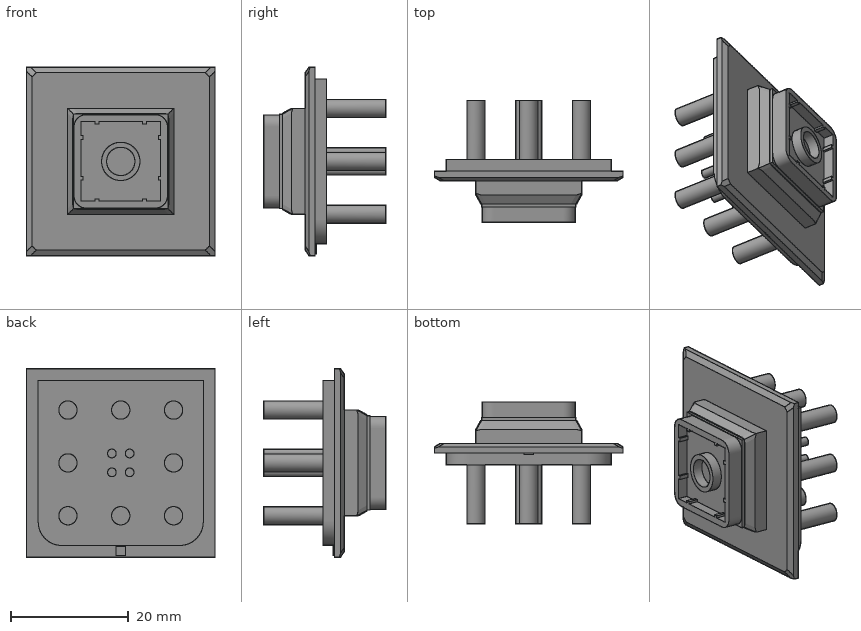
import cadquery as cq
import math


flange_side = 32.0
flange_thickness = 1.65
flange_bevel_inset = 0.95
flange_bevel_depth = 0.6
flange_corner_depth = 0.83
plate_side = 28.0
plate_thickness = 2.0
plate_corner_radius = 4.0

boss_side = 18.0
boss_length = 3.87
boss_bevel_inset = 0.83
boss_bevel_depth = 1.5
boss_corner_inset = 1.15
boss_corner_depth = 1.75
boss_corner_turn = 11.0

collar_side = 16.0
collar_length = 0.5
socket_side = 15.8
socket_length = 2.65
socket_corner_radius = 2.0

pocket_side = 13.5
pocket_depth = 1.75
rib_width = 0.65
rib_height = 0.4
rib_offset = 4.03
side_rib_low_offset = 2.85
ring_outer_diameter = 6.5
ring_inner_diameter = 4.8

pin_diameter = 3.1
pin_length = 10.0
pin_pitch = 8.95
lead_diameter = 1.47
lead_offset_x = 1.5
lead_offset_z = 1.6

pad_side = 1.55
pad_height = 0.22
pad_z = -14.98

flange_front = -flange_thickness
boss_front = flange_front - boss_length
collar_front = boss_front - collar_length
socket_front = collar_front - socket_length
pocket_floor = socket_front + pocket_depth
plate_rear = plate_thickness

quarter_turns = (0, 90, 180, 270)


def face_at(y):
    """Sketch plane at position y, with X right, Z up and its normal toward -Y."""
    return cq.Workplane("XZ", origin=(0, y, 0))


def square_block(side, y_from, y_to):
    return face_at(y_from).rect(side, side).extrude(y_from - y_to)


def cylinders(points, diameter, y_from, y_to):
    return face_at(y_from).pushPoints(points).circle(diameter / 2).extrude(y_from - y_to)


def bevel(block, side, front, angle, inset, depth):
    """Slice a plane off the front of a square block, facing outward at the given angle.

    The inset and depth are measured from the outermost point of the block in that direction.
    """
    turn = math.radians(angle)
    reach = side / 2 * (abs(math.cos(turn)) + abs(math.sin(turn)))
    wedge = (
        cq.Workplane("XY")
        .polyline([(reach - inset, front), (reach, front), (reach, front + depth)])
        .close()
        .extrude(side, both=True)
        .rotate((0, 0, 0), (0, 1, 0), angle)
    )
    return block.cut(wedge)


def make_flange():
    flange = square_block(flange_side, 0, flange_front)
    corner_inset = flange_corner_depth * math.sqrt(2) * flange_bevel_inset / flange_bevel_depth
    for angle in quarter_turns:
        flange = bevel(flange, flange_side, flange_front, angle, flange_bevel_inset, flange_bevel_depth)
        flange = bevel(flange, flange_side, flange_front, angle + 45, corner_inset, flange_corner_depth)
    return flange


def make_plate():
    plate = square_block(plate_side, plate_rear, 0)
    return plate.edges("|Y and <Z").fillet(plate_corner_radius)


def make_boss():
    boss = square_block(boss_side, 0, boss_front)
    for angle in quarter_turns:
        boss = bevel(boss, boss_side, boss_front, angle, boss_bevel_inset, boss_bevel_depth)
        for turn in (-boss_corner_turn, boss_corner_turn):
            boss = bevel(boss, boss_side, boss_front, angle + turn, boss_corner_inset, boss_corner_depth)
    return boss


def make_socket():
    socket = square_block(socket_side, boss_front, socket_front)
    socket = socket.edges("|Y").fillet(socket_corner_radius)
    return socket.union(square_block(collar_side, boss_front, collar_front))


def make_ribs():
    wall = pocket_side / 2 - rib_height / 2
    plane = face_at(pocket_floor)
    level_ribs = [(x, z) for x in (-rib_offset, rib_offset) for z in (-wall, wall)]
    side_ribs = [(x, z) for x in (-wall, wall) for z in (-side_rib_low_offset, rib_offset)]
    ribs = plane.pushPoints(level_ribs).rect(rib_width, rib_height).extrude(pocket_depth)
    return ribs.union(plane.pushPoints(side_ribs).rect(rib_height, rib_width).extrude(pocket_depth))


def make_ring():
    ring = face_at(pocket_floor).circle(ring_outer_diameter / 2).circle(ring_inner_diameter / 2)
    return ring.extrude(pocket_depth)


def make_pins():
    steps = (-pin_pitch, 0, pin_pitch)
    pin_points = [(x, z) for x in steps for z in steps if (x, z) != (0, 0)]
    lead_points = [(x, z) for x in (-lead_offset_x, lead_offset_x) for z in (-lead_offset_z, lead_offset_z)]
    pin_end = plate_rear + pin_length
    pins = cylinders(pin_points, pin_diameter, pin_end, plate_rear)
    return pins.union(cylinders(lead_points, lead_diameter, pin_end, plate_rear))


body = make_flange().union(make_plate()).union(make_boss()).union(make_socket())
body = body.cut(square_block(pocket_side, pocket_floor, socket_front))
body = body.union(make_ribs()).union(make_ring()).union(make_pins())
result = body.union(square_block(pad_side, pad_height, 0).translate((0, 0, pad_z)))